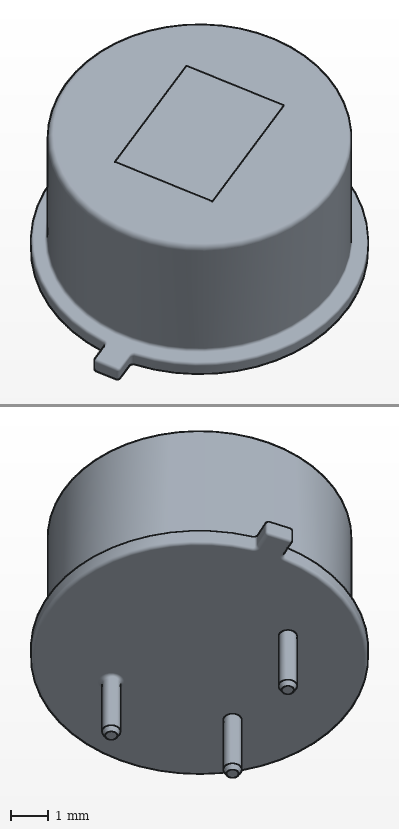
import cadquery as cq
import math

can_diameter = 8.2
can_height = 4.2
can_top_radius = 0.2
flange_diameter = 9.1
flange_thickness = 0.5
edge_radius = 0.1
can_top = flange_thickness + can_height

tab_angle = -45
tab_width = 0.8
tab_reach = 5.24
tab_root_radius = 0.1

lead_diameter = 0.5
lead_length = 2.0
lead_tip_length = 0.15
lead_tip_slope = 30
lead_tip_inset = lead_tip_length * math.tan(math.radians(lead_tip_slope))
lead_circle_radius = 2.54
ground_lead_angle = 180
plain_lead_angles = (0, 90)
lead_angles = (ground_lead_angle, *plain_lead_angles)

window_length = 4.0
window_width = 3.0
window_thickness = 0.2


def on_lead_circle(angle):
    return (
        lead_circle_radius * math.cos(math.radians(angle)),
        lead_circle_radius * math.sin(math.radians(angle)),
    )


def make_window():
    return (
        cq.Workplane("XY")
        .box(window_length, window_width, window_thickness, centered=(True, True, False))
        .rotate((0, 0, 0), (0, 0, 1), tab_angle)
        .translate((0, 0, can_top - window_thickness))
    )


def make_flange():
    disc = cq.Workplane("XY").circle(flange_diameter / 2).extrude(flange_thickness)
    tab = (
        cq.Workplane("XY")
        .box(tab_reach, tab_width, flange_thickness, centered=(False, True, False))
        .edges("|Z and >X")
        .fillet(edge_radius)
    )
    root_x = math.sqrt((flange_diameter / 2) ** 2 - (tab_width / 2) ** 2)
    root_span = tab_root_radius / 2
    root_corners = cq.selectors.BoxSelector(
        (root_x - root_span, -tab_width, -flange_thickness),
        (root_x + root_span, tab_width, 2 * flange_thickness),
    )
    return (
        disc.union(tab)
        .edges("|Z")
        .edges(root_corners)
        .fillet(tab_root_radius)
        .faces("<Z or >Z")
        .edges()
        .fillet(edge_radius)
        .rotate((0, 0, 0), (0, 0, 1), tab_angle)
    )


def make_can():
    can_radius = can_diameter / 2
    return (
        cq.Workplane("XZ")
        .lineTo(can_radius + edge_radius, 0)
        .lineTo(can_radius + edge_radius, flange_thickness)
        .radiusArc((can_radius, flange_thickness + edge_radius), edge_radius)
        .lineTo(can_radius, can_top - can_top_radius)
        .radiusArc((can_radius - can_top_radius, can_top), -can_top_radius)
        .lineTo(0, can_top)
        .close()
        .revolve(360, (0, 0), (0, 1))
    )


def make_lead(angle):
    return (
        cq.Workplane("XY")
        .center(*on_lead_circle(angle))
        .circle(lead_diameter / 2)
        .extrude(-lead_length)
        .faces("<Z")
        .edges()
        .chamfer(lead_tip_length, lead_tip_inset)
    )


def make_lead_collar(angle):
    lead_radius = lead_diameter / 2
    return (
        cq.Workplane("XZ")
        .lineTo(lead_radius + edge_radius, 0)
        .radiusArc((lead_radius, -edge_radius), -edge_radius)
        .lineTo(0, -edge_radius)
        .close()
        .revolve(360, (0, 0), (0, 1))
        .translate((*on_lead_circle(angle), 0))
    )


def make_housing(window):
    housing = make_flange().union(make_can())
    for angle in lead_angles:
        housing = housing.union(make_lead(angle))
    housing = housing.union(make_lead_collar(ground_lead_angle))
    return housing.cut(window)


window = make_window()
housing = make_housing(window)
result = cq.Compound.makeCompound([housing.val(), window.val()])